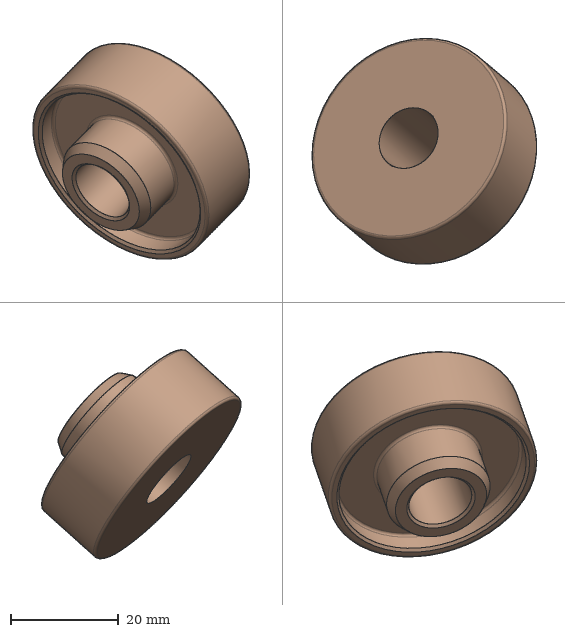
import cadquery as cq
import math

wheel_diameter = 39.8
wheel_width = 14.0
total_length = 20.0
hub_diameter = 19.8
bore_diameter = 12.0
recess_diameter = 35.8
recess_depth = 4.0

edge_break = 0.5
hub_taper_length = 2.03
hub_taper_angle = 30.0

wheel_radius = wheel_diameter / 2
hub_radius = hub_diameter / 2
bore_radius = bore_diameter / 2
recess_radius = recess_diameter / 2
hub_tip_radius = hub_radius - hub_taper_length * math.tan(math.radians(hub_taper_angle))
recess_floor = recess_depth - wheel_width
diagonal = edge_break * (1 - math.sqrt(0.5))


def wheel_half_section():
    """Half section through the axis, as (radius, Y) points from the back of the bore."""
    return (
        cq.Workplane("XY")
        .moveTo(bore_radius, 0)
        .lineTo(wheel_radius - edge_break, 0)
        .threePointArc(
            (wheel_radius - diagonal, -diagonal),
            (wheel_radius, -edge_break),
        )
        .lineTo(wheel_radius, edge_break - wheel_width)
        .threePointArc(
            (wheel_radius - diagonal, diagonal - wheel_width),
            (wheel_radius - edge_break, -wheel_width),
        )
        .lineTo(recess_radius + edge_break, -wheel_width)
        .lineTo(recess_radius, edge_break - wheel_width)
        .lineTo(recess_radius, recess_floor - edge_break)
        .threePointArc(
            (recess_radius - diagonal, recess_floor - diagonal),
            (recess_radius - edge_break, recess_floor),
        )
        .lineTo(hub_radius + edge_break, recess_floor)
        .threePointArc(
            (hub_radius + diagonal, recess_floor - diagonal),
            (hub_radius, recess_floor - edge_break),
        )
        .lineTo(hub_radius, hub_taper_length - total_length)
        .lineTo(hub_tip_radius, -total_length)
        .lineTo(bore_radius + edge_break, -total_length)
        .lineTo(bore_radius, edge_break - total_length)
        .close()
    )


result = wheel_half_section().revolve(360, (0, 0, 0), (0, 1, 0))